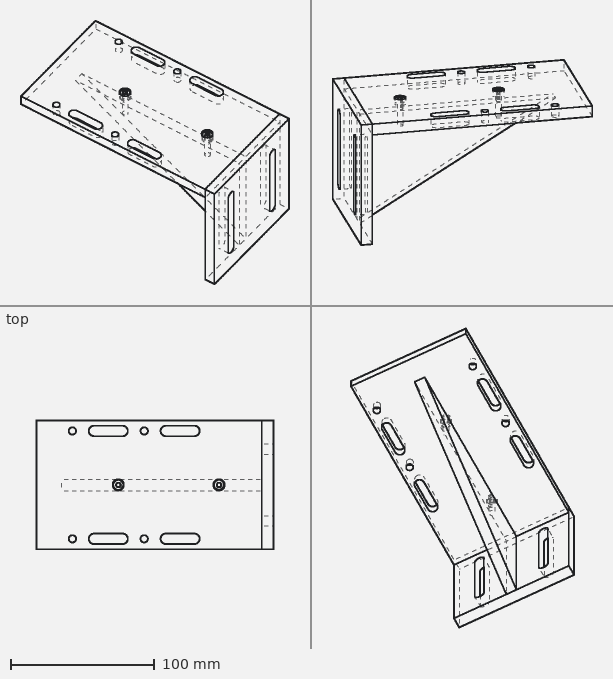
import cadquery as cq
import math

length = 165.0
width = 90.0
height = 90.0
plate_thickness = 8.1

gusset_thickness = 8.0
gusset_setback = 17.2

slot_pitch = 50.0
row_spacing = 75.0
slot_width = 7.1
shelf_slot_length = 27.0
shelf_hole_diameter = 5.0

wall_slot_length = 59.4
wall_slot_top_gap = 15.2

first_screw_x = 57.0
screw_spacing = 70.1
screw_diameter = 4.0
screw_length = 16.0
head_diameter = 7.0
head_height = 4.0
head_edge_radius = 0.5
socket_across_corners = 3.5
socket_depth = 2.0
socket_cone_height = 0.8
counterbore_diameter = 8.0
counterbore_depth = 4.5

shelf_length = length - plate_thickness
shelf_bottom = height - plate_thickness
head_seat = height - counterbore_depth
screw_places = [(first_screw_x, 0), (first_screw_x + screw_spacing, 0)]
socket_cone_radius = socket_across_corners / 2 * math.cos(math.pi / 6)
shelf_rows = (-row_spacing / 2, row_spacing / 2)
wall_slot_middle = height - wall_slot_top_gap - wall_slot_length / 2


def make_shelf():
    """Horizontal plate with slots, round holes and counterbored screw holes."""
    hole_places = [(slot_pitch * step, row) for step in (0.5, 1.5) for row in shelf_rows]
    slot_places = [(slot_pitch * step, row) for step in (1, 2) for row in shelf_rows]
    plate = (
        cq.Workplane("XY", origin=(0, 0, shelf_bottom))
        .box(shelf_length, width, plate_thickness, centered=(False, True, False))
    )
    top = cq.Workplane("XY", origin=(0, 0, height))
    holes = top.pushPoints(hole_places).circle(shelf_hole_diameter / 2).extrude(-plate_thickness)
    slots = top.pushPoints(slot_places).slot2D(shelf_slot_length, slot_width).extrude(-plate_thickness)
    bores = top.pushPoints(screw_places).circle(screw_diameter / 2).extrude(-plate_thickness)
    counterbores = top.pushPoints(screw_places).circle(counterbore_diameter / 2).extrude(-counterbore_depth)
    return plate.cut(holes).cut(slots).cut(bores).cut(counterbores)


def make_wall():
    """Vertical plate at the end of the shelf, with two upright slots."""
    plate = (
        cq.Workplane("XY", origin=(shelf_length, 0, 0))
        .box(plate_thickness, width, height, centered=(False, True, False))
    )
    slots = (
        cq.Workplane("YZ", origin=(shelf_length, 0, wall_slot_middle))
        .pushPoints([(-slot_pitch / 2, 0), (slot_pitch / 2, 0)])
        .slot2D(wall_slot_length, slot_width, angle=90)
        .extrude(plate_thickness)
    )
    return plate.cut(slots)


def make_gusset():
    """Triangular rib between shelf and wall, with blind holes for the screw shanks."""
    rib = (
        cq.Workplane("XZ")
        .polyline([(gusset_setback, shelf_bottom), (shelf_length, shelf_bottom), (shelf_length, 0)])
        .close()
        .extrude(gusset_thickness / 2, both=True)
    )
    screw_holes = (
        cq.Workplane("XY", origin=(0, 0, head_seat))
        .pushPoints(screw_places)
        .circle(screw_diameter / 2)
        .extrude(-screw_length)
    )
    return rib.cut(screw_holes)


def make_screw(place):
    """Cap screw with a cone-ended hexagon socket, its head resting on the counterbore floor."""
    seat = cq.Workplane("XY", origin=(*place, head_seat))
    head = seat.circle(head_diameter / 2).extrude(head_height)
    head = head.faces(">Z").edges().fillet(head_edge_radius)
    shank = seat.circle(screw_diameter / 2).extrude(-screw_length)
    socket = (
        seat.workplane(offset=head_height)
        .polygon(6, socket_across_corners)
        .extrude(-socket_depth)
    )
    socket_cone = cq.Solid.makeCone(
        socket_cone_radius,
        0,
        socket_cone_height,
        pnt=cq.Vector(*place, head_seat + head_height - socket_depth),
        dir=cq.Vector(0, 0, -1),
    )
    return head.union(shank).cut(socket).cut(cq.Workplane(socket_cone))


shelf = make_shelf()
wall = make_wall()
gusset = make_gusset()
screws = [make_screw(place).val() for place in screw_places]

result = cq.Compound.makeCompound([shelf.val(), wall.val(), gusset.val(), *screws])